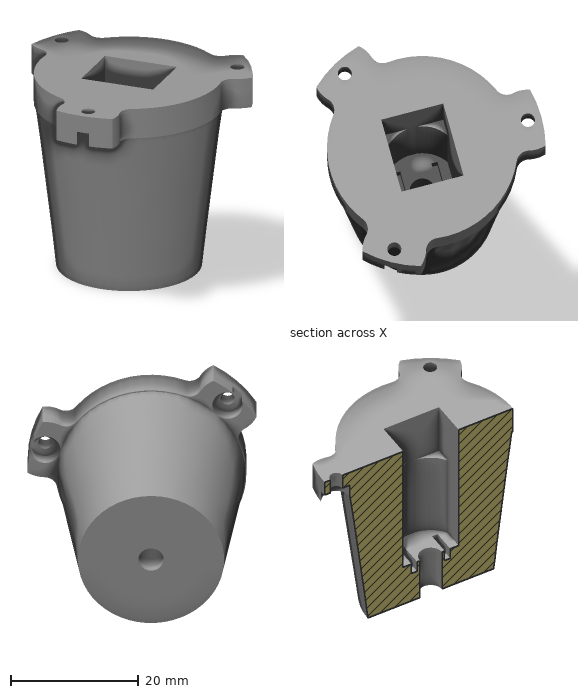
import cadquery as cq
import math

FLANGE_RADIUS = 15.0
FLANGE_THICKNESS = 5.0
LOBE_COUNT = 3
LOBE_FIRST_ANGLE = -90.0
LOBE_RADIUS = 5.0
LOBE_OUTER_RADIUS = 19.4
LOBE_FILLET = 2.0

POSITION_TOLERANCE = 0.01

SCREW_CIRCLE_RADIUS = 17.2
SCREW_HOLE_DIAMETER = 2.2
COUNTERBORE_DIAMETER = 4.8
COUNTERBORE_DEPTH = 2.2

TOTAL_HEIGHT = 32.4
BODY_TOP_RADIUS = 14.8
BODY_BOTTOM_RADIUS = 11.5

GEARBOX_LENGTH = 12.2
GEARBOX_WIDTH = 10.1
GEARBOX_DEPTH = 9.2
MOTOR_DIAMETER = 12.3
MOTOR_POCKET_DEPTH = 24.5

TERMINAL_LENGTH = 7.9
TERMINAL_WIDTH = 1.0
TERMINAL_DEPTH = 2.0
TERMINAL_OFFSET = 3.03
CABLE_HOLE_DIAMETER = 4.0


def on_circle(radius, degrees):
    """Point at a radius and angle about the part axis."""
    angle = math.radians(degrees)
    return (radius * math.cos(angle), radius * math.sin(angle))


LOBE_ANGLES = [LOBE_FIRST_ANGLE + i * 360.0 / LOBE_COUNT for i in range(LOBE_COUNT)]
SCREW_POINTS = [on_circle(SCREW_CIRCLE_RADIUS, angle) for angle in LOBE_ANGLES]


def inner_corner_edges(plate):
    """Vertical edges where the lobes meet the disc."""
    corner_edges = []
    for edge in plate.edges("|Z").vals():
        center = edge.Center()
        on_disc = abs(math.hypot(center.x, center.y) - FLANGE_RADIUS) < POSITION_TOLERANCE
        on_lobe = any(
            abs(math.dist((center.x, center.y), point) - LOBE_RADIUS) < POSITION_TOLERANCE
            for point in SCREW_POINTS
        )
        if on_disc and on_lobe:
            corner_edges.append(edge)
    return corner_edges


def make_flange():
    """Disc and lobes with blended inner corners, top face at Z = 0."""
    base = cq.Workplane("XY").workplane(offset=-FLANGE_THICKNESS)
    disc = base.circle(FLANGE_RADIUS).extrude(FLANGE_THICKNESS)
    lobes = base.pushPoints(SCREW_POINTS).circle(LOBE_RADIUS).extrude(FLANGE_THICKNESS)
    limit = base.circle(LOBE_OUTER_RADIUS).extrude(FLANGE_THICKNESS)
    plate = disc.union(lobes.intersect(limit))
    return plate.newObject(inner_corner_edges(plate)).fillet(LOBE_FILLET)


def make_body():
    """Cone that narrows from the underside of the flange to the bottom."""
    return (
        cq.Workplane("XY", origin=(0, 0, -FLANGE_THICKNESS))
        .circle(BODY_TOP_RADIUS)
        .workplane(offset=FLANGE_THICKNESS - TOTAL_HEIGHT)
        .circle(BODY_BOTTOM_RADIUS)
        .loft(ruled=True)
    )


def make_screw_holes():
    """Through holes with counterbores that break out through the lobe ends."""
    base = cq.Workplane("XY", origin=(0, 0, -FLANGE_THICKNESS)).pushPoints(SCREW_POINTS)
    holes = base.circle(SCREW_HOLE_DIAMETER / 2).extrude(FLANGE_THICKNESS)
    counterbores = base.circle(COUNTERBORE_DIAMETER / 2).extrude(COUNTERBORE_DEPTH)
    return holes.union(counterbores)


def make_motor_pocket():
    """Gearbox recess, motor recess, terminal recesses and cable hole."""
    top = cq.Workplane("XY")
    gearbox = top.rect(GEARBOX_LENGTH, GEARBOX_WIDTH).extrude(-GEARBOX_DEPTH)
    motor_floor = cq.Workplane("XY", origin=(0, 0, -MOTOR_POCKET_DEPTH))
    motor_height = MOTOR_POCKET_DEPTH - GEARBOX_DEPTH
    limit = motor_floor.rect(GEARBOX_LENGTH, GEARBOX_WIDTH).extrude(motor_height)
    motor = motor_floor.circle(MOTOR_DIAMETER / 2).extrude(motor_height).intersect(limit)
    terminals = (
        motor_floor.pushPoints([(0, TERMINAL_OFFSET), (0, -TERMINAL_OFFSET)])
        .rect(TERMINAL_LENGTH, TERMINAL_WIDTH)
        .extrude(-TERMINAL_DEPTH)
    )
    cable_hole = top.circle(CABLE_HOLE_DIAMETER / 2).extrude(-TOTAL_HEIGHT)
    return gearbox.union(motor).union(terminals).union(cable_hole)


body_and_flange = make_flange().cut(make_screw_holes()).union(make_body())
result = body_and_flange.cut(make_motor_pocket()).solids()